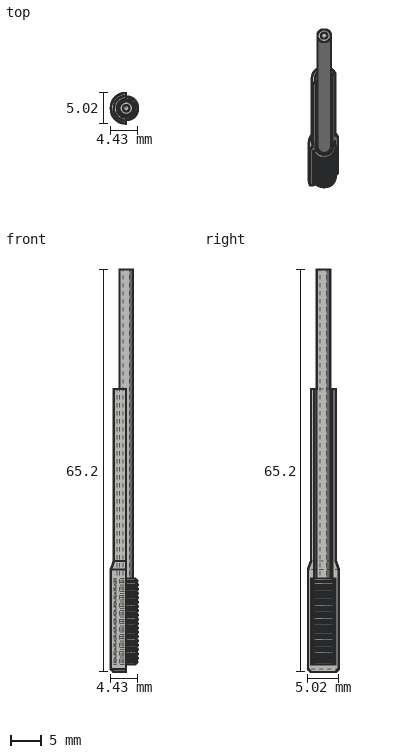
import cadquery as cq

TOTAL_LENGTH = 65.2

BODY_RADIUS = 2.51
NECK_RADIUS = 2.0
NECK_TOP = 45.85
CONE_TOP = 18.0
CONE_BOTTOM = 16.6
BOTTOM_CHAMFER = 0.5
NECK_BORE_RADIUS = 1.5

TUBE_RADIUS = 1.1
CORE_RADIUS = 0.5

SLEEVE_BOTTOM = 1.25
SLEEVE_TOP = 15.2
RIDGE_RADIUS = 1.925
RIDGE_ROOT_RADIUS = 1.55
RIDGE_COUNT = 20
SLEEVE_CHAMFER = 0.6

SLEEVE_CLEARANCE = 0.05

chamber_radius = RIDGE_RADIUS + SLEEVE_CLEARANCE


def cylinder(radius, bottom, top):
    """Cylinder on the Z axis between two heights."""
    return cq.Workplane("XY").workplane(offset=bottom).circle(radius).extrude(top - bottom)


def make_housing():
    """Stepped half shell with a closed bottom and a wider sleeve chamber."""
    profile = [
        (0, 0),
        (BODY_RADIUS - BOTTOM_CHAMFER, 0),
        (BODY_RADIUS, BOTTOM_CHAMFER),
        (BODY_RADIUS, CONE_BOTTOM),
        (NECK_RADIUS, CONE_TOP),
        (NECK_RADIUS, NECK_TOP),
        (NECK_BORE_RADIUS, NECK_TOP),
        (NECK_BORE_RADIUS, SLEEVE_TOP),
        (chamber_radius, SLEEVE_TOP),
        (chamber_radius, SLEEVE_BOTTOM),
        (0, SLEEVE_BOTTOM),
    ]
    half = cq.Workplane("XZ").polyline(profile).close().revolve(180, (0, 0, 0), (0, 1, 0))
    return half.rotate((0, 0, 0), (0, 0, 1), 90)


def make_tube():
    """Tube through the sleeve, standing on the housing floor."""
    bore = cylinder(CORE_RADIUS, SLEEVE_BOTTOM, TOTAL_LENGTH)
    return cylinder(TUBE_RADIUS, SLEEVE_BOTTOM, TOTAL_LENGTH).cut(bore)


def make_core():
    """Straight wire that fills the tube."""
    return cylinder(CORE_RADIUS, SLEEVE_BOTTOM, TOTAL_LENGTH)


def make_sleeve():
    """Ridged sleeve with chamfered ends, bored to fit the tube."""
    pitch = (SLEEVE_TOP - SLEEVE_BOTTOM) / RIDGE_COUNT
    profile = [(TUBE_RADIUS, SLEEVE_BOTTOM), (RIDGE_ROOT_RADIUS, SLEEVE_BOTTOM)]
    for ridge in range(RIDGE_COUNT):
        ridge_bottom = SLEEVE_BOTTOM + ridge * pitch
        profile.append((RIDGE_RADIUS, ridge_bottom + pitch / 2))
        profile.append((RIDGE_ROOT_RADIUS, ridge_bottom + pitch))
    profile.append((TUBE_RADIUS, SLEEVE_TOP))
    ridged = cq.Workplane("XZ").polyline(profile).close().revolve(360, (0, 0, 0), (0, 1, 0))

    envelope = cylinder(chamber_radius, SLEEVE_BOTTOM, SLEEVE_TOP)
    envelope = envelope.faces("<Z or >Z").chamfer(SLEEVE_CHAMFER)
    return ridged.intersect(envelope)


housing = make_housing()
tube = make_tube()
core = make_core()
sleeve = make_sleeve()

result = cq.Compound.makeCompound([housing.val(), tube.solids().val(), core.val(), sleeve.solids().val()])